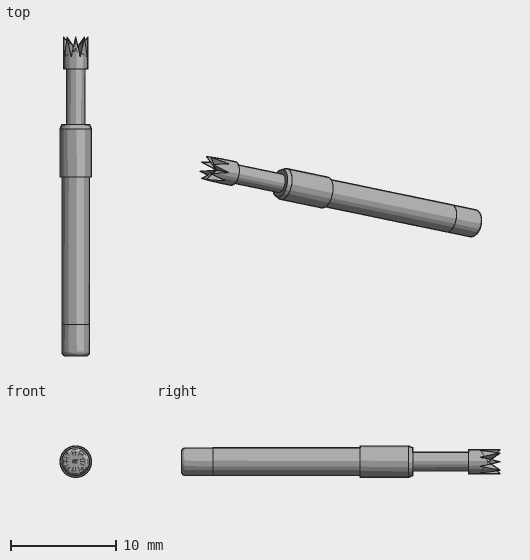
import cadquery as cq
import math


tail_diameter = 2.64
barrel_diameter = 2.65
collar_diameter = 3.0
plunger_diameter = 1.8
crown_diameter = 2.3

tail_end = 3.0
collar_start = 17.0
collar_end = 22.0
crown_start = 27.3
total_length = 30.3

tail_fillet = 0.4
collar_chamfer_length = 0.4
collar_nose_diameter = 2.65

tooth_count = 8
valley_depth = 1.85
center_depth = crown_diameter / 2


def cylinder(diameter, start, end):
    """Cylinder on the Y axis between two stations."""
    profile = cq.Workplane("XZ", origin=(0, start, 0)).circle(diameter / 2)
    return profile.extrude(start - end)


def make_tail():
    return cylinder(tail_diameter, 0, tail_end).faces("<Y").edges().fillet(tail_fillet)


def make_collar():
    chamfer_start = collar_end - collar_chamfer_length
    nose_radius = collar_nose_diameter / 2
    outer_radius = collar_diameter / 2
    profile = (
        cq.Workplane("XY")
        .moveTo(0, collar_start)
        .lineTo(outer_radius, collar_start)
        .lineTo(outer_radius, chamfer_start)
        .lineTo(nose_radius, collar_end)
        .lineTo(0, collar_end)
        .close()
    )
    return profile.revolve(360, (0, 0, 0), (0, 1, 0))


def triangle(a, b, c):
    return cq.Face.makeFromWires(cq.Wire.makePolygon([a, b, c], close=True))


def make_crown_cutter():
    """Star-shaped cutter whose flat flanks run from the crown rim to one point on the axis."""
    overshoot = 2.0
    cutter_height = 2 * crown_diameter
    reach = overshoot * crown_diameter / 2
    center_y = total_length - center_depth
    tip_y = center_y + overshoot * center_depth
    valley_y = center_y - overshoot * (valley_depth - center_depth)
    center = cq.Vector(0, center_y, 0)
    apex = cq.Vector(0, total_length + cutter_height, 0)

    rim = []
    for i in range(2 * tooth_count):
        angle = math.pi * i / tooth_count
        y = tip_y if i % 2 == 0 else valley_y
        rim.append(cq.Vector(reach * math.cos(angle), y, reach * math.sin(angle)))

    faces = []
    for i, point in enumerate(rim):
        previous = rim[i - 1]
        faces.append(triangle(center, previous, point))
        faces.append(triangle(apex, point, previous))
    return cq.Workplane(obj=cq.Solid.makeSolid(cq.Shell.makeShell(faces)))


def make_crown():
    return cylinder(crown_diameter, crown_start, total_length).cut(make_crown_cutter())


barrel = cylinder(barrel_diameter, tail_end, collar_start)
plunger = cylinder(plunger_diameter, collar_end, crown_start)

result = make_tail().union(barrel).union(make_collar()).union(plunger).union(make_crown())